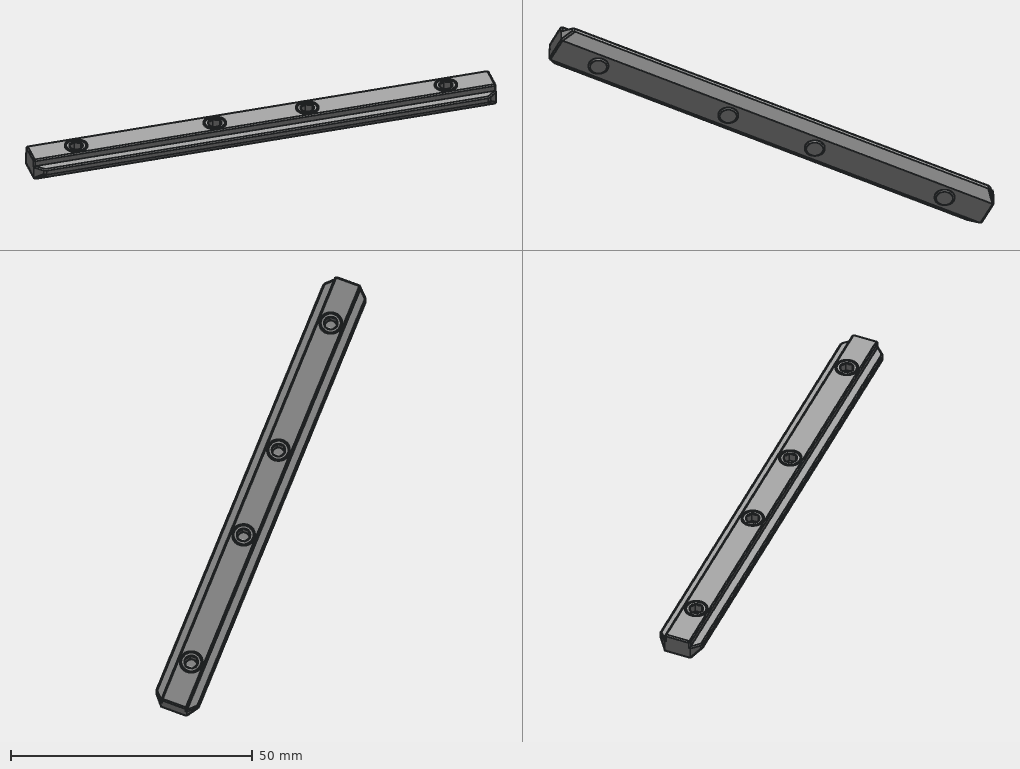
import cadquery as cq
import math

rail_length = 100.0
flange_width = 9.5
head_width = 5.7
overall_height = 5.0
screw_protrusion = 0.3
flange_top = 3.5
edge_break = 0.3
mitre = (flange_width - head_width) / 2
flank_top = screw_protrusion + mitre

screw_positions = [-40.0, -10.0, 10.0, 40.0]
screw_diameter = 5.0
screw_top_diameter = 4.1
tap_diameter = 4.2
countersink_diameter = 4.8
point_diameter = 3.5
socket_across_flats = 2.5
socket_across_corners = socket_across_flats / math.cos(math.radians(30))
socket_depth = 2.0
socket_cone_depth = 0.72


def make_flange():
    """Lower bar with 45 degree flanks and mitred ends; its exposed edges are chamfered."""
    half_flange = flange_width / 2
    profile_bar = (
        cq.Workplane("XZ")
        .moveTo(0, screw_protrusion)
        .lineTo(head_width / 2, screw_protrusion)
        .lineTo(half_flange, flank_top)
        .lineTo(half_flange, flange_top)
        .lineTo(0, flange_top)
        .mirrorY()
        .extrude(rail_length / 2, both=True)
    )
    mitred_plan = (
        cq.Workplane("XY")
        .rect(flange_width, rail_length)
        .extrude(flange_top)
        .edges("|Z")
        .chamfer(mitre)
    )
    flange = profile_bar.intersect(mitred_plan)
    mitre_edges = flange.edges("not(|X or |Y or |Z)")
    mitre_corners = flange.faces("<X or >X").edges("|Z")
    long_top_edges = flange.faces(">Z").edges("|Y")
    bottom_end_edges = flange.faces("<Z").edges("|X")
    return (
        mitre_edges.add(mitre_corners)
        .add(long_top_edges)
        .add(bottom_end_edges)
        .chamfer(edge_break)
    )


def make_head():
    """Upper bar, chamfered along its top and its end corners, that starts inside the flange."""
    return (
        cq.Workplane("XY", origin=(0, 0, flank_top))
        .rect(head_width, rail_length)
        .extrude(overall_height - flank_top)
        .edges("|Z or >Z")
        .chamfer(edge_break)
    )


def make_rail():
    """T-shaped slot rail with a tapped hole for every screw."""
    rail = make_flange().union(make_head())
    for y in screw_positions:
        rail = rail.cut(make_hole().translate((0, y, 0)))
    return rail


def make_hole():
    """Tapped hole that fits the screw, with a 45 degree countersink at the top."""
    radius = tap_diameter / 2
    countersink_radius = countersink_diameter / 2
    tap_drill = (
        cq.Workplane("XZ")
        .lineTo(radius, 0)
        .lineTo(radius, overall_height - (countersink_radius - radius))
        .lineTo(countersink_radius, overall_height)
        .lineTo(0, overall_height)
        .close()
        .revolve()
    )
    return tap_drill.union(make_screw_blank())


def make_screw_blank():
    """Set screw without its socket: a cylinder chamfered at the top and at the point."""
    radius = screw_diameter / 2
    top_radius = screw_top_diameter / 2
    point_radius = point_diameter / 2
    return (
        cq.Workplane("XZ")
        .lineTo(point_radius, 0)
        .lineTo(radius, radius - point_radius)
        .lineTo(radius, overall_height - (radius - top_radius))
        .lineTo(top_radius, overall_height)
        .lineTo(0, overall_height)
        .close()
        .revolve()
    )


def make_screw():
    """Set screw with a hexagon socket that has a countersunk mouth and ends in a drill cone."""
    socket_floor = overall_height - socket_depth
    corner_radius = socket_across_corners / 2
    flat_radius = socket_across_flats / 2
    hexagon = (
        cq.Workplane("XY", origin=(0, 0, socket_floor))
        .polygon(6, socket_across_corners)
        .extrude(socket_depth)
    )
    mouth_and_drill = (
        cq.Workplane("XZ")
        .moveTo(0, socket_floor - socket_cone_depth)
        .lineTo(flat_radius, socket_floor)
        .lineTo(flat_radius, overall_height - (corner_radius - flat_radius))
        .lineTo(corner_radius, overall_height)
        .lineTo(0, overall_height)
        .close()
        .revolve()
    )
    return make_screw_blank().cut(hexagon).cut(mouth_and_drill)


rail = make_rail()
screws = [make_screw().translate((0, y, 0)) for y in screw_positions]
result = cq.Compound.makeCompound([rail.val(), *[screw.val() for screw in screws]])